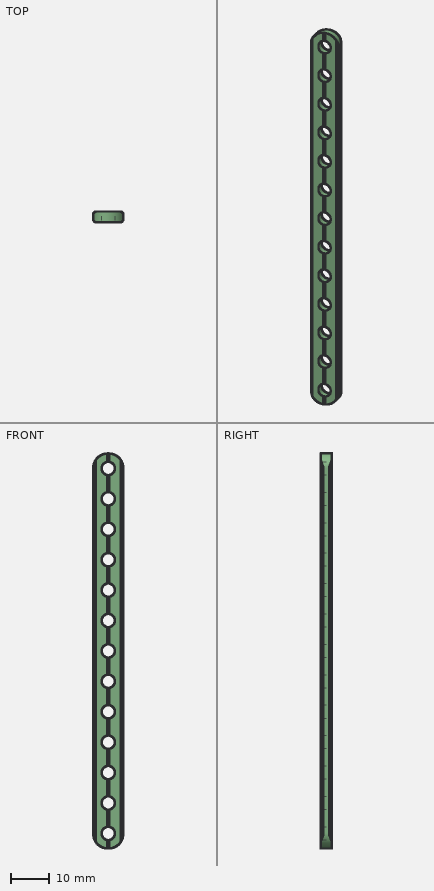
import cadquery as cq

hole_count = 13
length = 104.0
thickness = 2.9
hole_diameter = 3.4
groove_width = 0.7
groove_floor_width = 0.3
groove_depth = 0.1

edge_setback = 0.7
middle_flat_near_setback = 0.1
middle_flat_far_setback = 0.47

pitch = length / hole_count
width = pitch
end_radius = width / 2
cutter_depth = 2 * thickness


def extrude_section(points):
    """Close an XY section and run it over the full length of the bar."""
    return cq.Workplane("XY").polyline(points).close().extrude(length / 2, both=True)


def corner_points(side_x, side_y):
    """Section corner in the given quadrant, listed from the side to the face."""
    setbacks = [
        (0, edge_setback),
        (middle_flat_near_setback, middle_flat_far_setback),
        (middle_flat_far_setback, middle_flat_near_setback),
        (edge_setback, 0),
    ]
    return [(side_x * (width / 2 - dx), side_y * (thickness / 2 - dy)) for dx, dy in setbacks]


def edge_broken_bar():
    """Square-ended bar along Z with its four long edges broken."""
    section = (
        corner_points(1, 1)
        + corner_points(-1, 1)[::-1]
        + corner_points(-1, -1)
        + corner_points(1, -1)[::-1]
    )
    return extrude_section(section)


def end_trim(end):
    """Material outside the half round at the top (end = 1) or bottom (end = -1)."""
    tip_z = end * length / 2
    center_z = end * (length / 2 - end_radius)
    beyond_tip_z = tip_z + end * end_radius
    return (
        cq.Workplane("XZ")
        .moveTo(-end_radius, center_z)
        .threePointArc((0, tip_z), (end_radius, center_z))
        .lineTo(width, center_z)
        .lineTo(width, beyond_tip_z)
        .lineTo(-width, beyond_tip_z)
        .lineTo(-width, center_z)
        .close()
        .extrude(cutter_depth / 2, both=True)
    )


def hole_row():
    """One row of equally spaced through holes."""
    return (
        cq.Workplane("XZ")
        .rarray(pitch, pitch, 1, hole_count)
        .circle(hole_diameter / 2)
        .extrude(cutter_depth / 2, both=True)
    )


def face_groove():
    """Shallow groove with sloping walls along the middle of the -Y face."""
    face_y = -thickness / 2
    floor_y = face_y + groove_depth
    section = [
        (-groove_width / 2, face_y),
        (-groove_floor_width / 2, floor_y),
        (groove_floor_width / 2, floor_y),
        (groove_width / 2, face_y),
    ]
    return extrude_section(section)


result = edge_broken_bar()
for end in (1, -1):
    result = result.cut(end_trim(end))
result = result.cut(hole_row()).cut(face_groove())